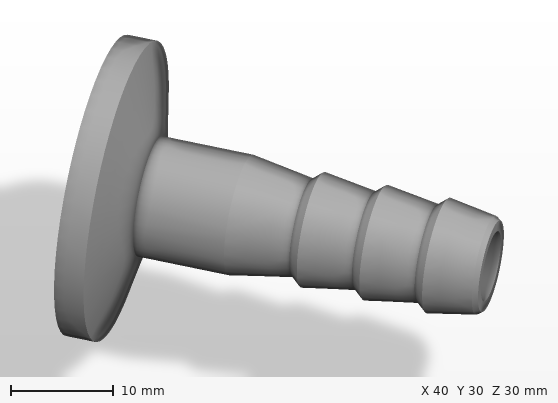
import cadquery as cq

total_length = 40.0
flange_radius = 30.0 / 2
flange_rim = 3.0
flange_cone_end = 5.45
recess_radius = 17.2 / 2
recess_depth = 2.4

neck_radius = 12.0 / 2
neck_end = 14.65
bore_radius = 7.0 / 2

barb_count = 3
barb_pitch = 6.35
first_barb_start = 20.95
barb_rise = 1.0
barb_root_radius = 4.9
barb_peak_radius = 5.75

tip_chamfer_length = 0.5
tip_chamfer_depth = 0.35


def outer_profile():
    """Half section of the solid body as (axial position, radius) points."""
    points = [
        (0, 0),
        (0, flange_radius),
        (flange_rim, flange_radius),
        (flange_cone_end, neck_radius),
        (neck_end, neck_radius),
    ]
    for index in range(barb_count):
        start = first_barb_start + index * barb_pitch
        points.append((start, barb_root_radius))
        points.append((start + barb_rise, barb_peak_radius))
    points += [
        (total_length - tip_chamfer_length, barb_root_radius),
        (total_length, barb_root_radius - tip_chamfer_depth),
        (total_length, 0),
    ]
    return points


def cylinder_along_x(radius, length):
    return cq.Workplane("YZ").circle(radius).extrude(length)


body = cq.Workplane("XY").polyline(outer_profile()).close().revolve(360, (0, 0, 0), (1, 0, 0))
recess = cylinder_along_x(recess_radius, recess_depth)
bore = cylinder_along_x(bore_radius, total_length)

result = body.cut(recess).cut(bore)